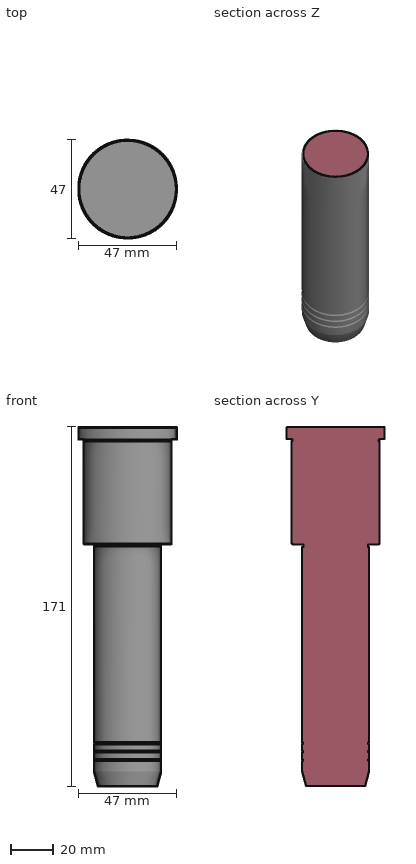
import cadquery as cq
import math

total_length = 171.0
flange_thickness = 6.0
fit_length = 50.0
flange_bottom = total_length - flange_thickness
fit_bottom = flange_bottom - fit_length

flange_radius = 47.0 / 2
fit_radius = 42.0 / 2
shank_radius = 32.0 / 2

flange_chamfer = 0.5
fit_chamfer = 0.5

neck_width = 1.0
neck_depth = 0.5

vee_width = 1.0
vee_depth = vee_width / 2

lead_length = 7.0
lead_angle = 15.0
tip_fillet = 0.5
tip_radius = shank_radius - lead_length * math.tan(math.radians(lead_angle))

groove_count = 3
groove_pitch = 4.0
groove_land = 5.0
lowest_groove_bottom = lead_length + groove_land


def disc(radius, bottom, top):
    """Cylinder on the pin axis between two heights."""
    return cq.Workplane("XY").workplane(offset=bottom).circle(radius).extrude(top - bottom)


def vee_groove(surface_radius, bottom):
    """Ring with a triangular section to remove from a cylindrical surface."""
    points = [
        (surface_radius, bottom),
        (surface_radius - vee_depth, bottom + vee_width / 2),
        (surface_radius, bottom + vee_width),
    ]
    return cq.Workplane("XZ").polyline(points).close().revolve(360, (0, 0), (0, 1))


def make_flange():
    flange = disc(flange_radius, flange_bottom, total_length)
    return flange.faces(">Z").edges().chamfer(flange_chamfer)


def make_fit_section():
    fit = disc(fit_radius, fit_bottom, flange_bottom)
    return fit.faces("<Z").edges().chamfer(fit_chamfer)


def make_shank():
    shank = disc(shank_radius, lead_length, fit_bottom)
    lead = (
        cq.Workplane("XY")
        .circle(tip_radius)
        .workplane(offset=lead_length)
        .circle(shank_radius)
        .loft()
        .faces("<Z").edges().fillet(tip_fillet)
    )
    return shank.union(lead)


def cut_relief_neck(body):
    """Narrow the shank just below the fit section."""
    bottom = fit_bottom - neck_width
    ring = disc(shank_radius, bottom, fit_bottom)
    neck = disc(shank_radius - neck_depth, bottom, fit_bottom)
    return body.cut(ring.cut(neck))


def cut_flange_relief(body):
    return body.cut(vee_groove(fit_radius, flange_bottom - vee_width))


def cut_lubrication_grooves(body):
    for index in range(groove_count):
        bottom = lowest_groove_bottom + index * groove_pitch
        body = body.cut(vee_groove(shank_radius, bottom))
    return body


pin = make_flange().union(make_fit_section()).union(make_shank())
pin = cut_flange_relief(pin)
pin = cut_relief_neck(pin)
result = cut_lubrication_grooves(pin)